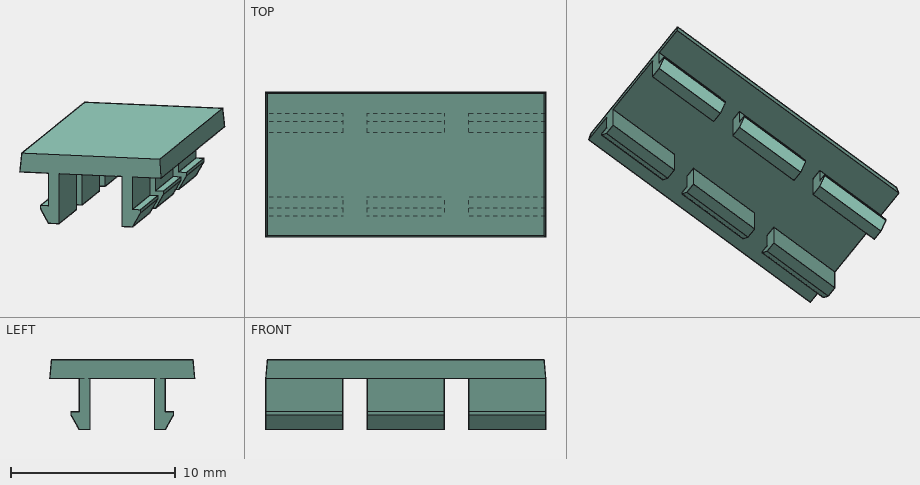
import cadquery as cq

length = 17.0
width = 8.8
height = 4.25

plate_thickness = 1.15
side_lean = 0.1

legs_per_row = 3
leg_length = 4.7
leg_inner_y = 1.95
leg_thickness = 0.66
hook_reach = 0.5
hook_height = 1.09
hook_lip = 0.2

leg_height = height - plate_thickness
leg_outer_y = leg_inner_y + leg_thickness
hook_tip_y = leg_outer_y + hook_reach
leg_pitch = (length - leg_length) / (legs_per_row - 1)


def make_plate():
    """Tapered cover plate standing on top of the legs."""
    return (
        cq.Workplane("XY", origin=(0, 0, leg_height))
        .rect(length, width)
        .workplane(offset=plate_thickness)
        .rect(length - 2 * side_lean, width - 2 * side_lean)
        .loft(ruled=True)
    )


def make_leg(center_x):
    """Leg on the +Y side, with an outward hook that slopes in to its foot."""
    profile = [
        (leg_inner_y, 0),
        (leg_outer_y, 0),
        (hook_tip_y, hook_height - hook_lip),
        (hook_tip_y, hook_height),
        (leg_outer_y, hook_height),
        (leg_outer_y, leg_height),
        (leg_inner_y, leg_height),
    ]
    start_x = center_x - leg_length / 2
    return cq.Workplane("YZ", origin=(start_x, 0, 0)).polyline(profile).close().extrude(leg_length)


result = make_plate()
for index in range(legs_per_row):
    leg = make_leg((index - (legs_per_row - 1) / 2) * leg_pitch)
    result = result.union(leg).union(leg.mirror("XZ"))